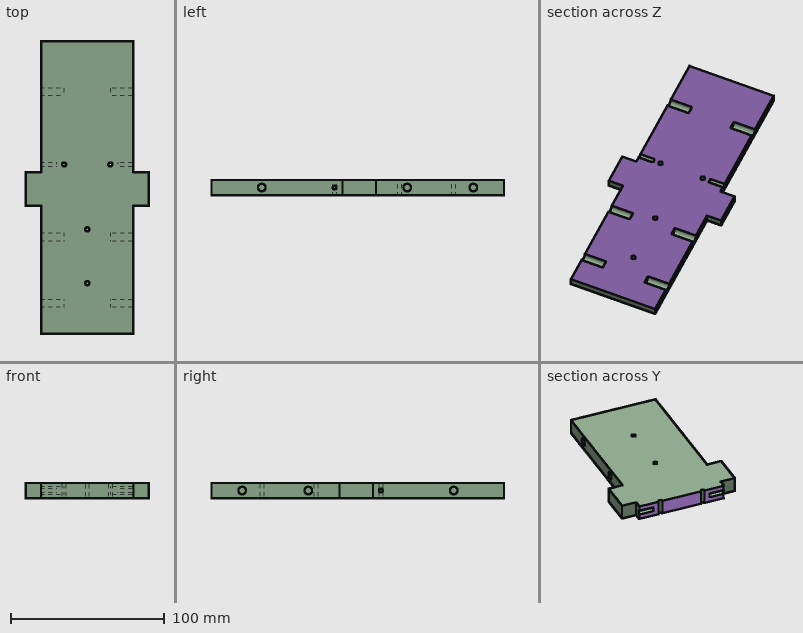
import cadquery as cq

length = 190.0
body_width = 60.0
thickness = 10.0

tab_span = 80.0
tab_length = 21.8
tab_center_y = -1.0

small_diameter = 2.5
pair_x = 15.0
pair_y = 15.0
center_hole_ys = (-27.2, -62.1)

edge_diameter = 5.0
edge_hole_ys = (62.3, -32.1, -75.0)
edge_hole_depth = 15.0
small_edge_depth = 10.0


def edge_holes(side, positions, diameter, depth):
    """Cylinders running inward from the long edge on the given X side (-1 or 1)."""
    edge_plane = cq.Plane(
        origin=(side * body_width / 2, 0, 0), xDir=(0, 1, 0), normal=(-side, 0, 0)
    )
    points = [(y, 0) for y in positions]
    return cq.Workplane(edge_plane).pushPoints(points).circle(diameter / 2).extrude(depth)


body = cq.Workplane("XY").box(body_width, length, thickness)
tabs = cq.Workplane("XY").center(0, tab_center_y).box(tab_span, tab_length, thickness)
result = body.union(tabs)

vertical_points = [(-pair_x, pair_y), (pair_x, pair_y)]
vertical_points += [(0, y) for y in center_hole_ys]
vertical_holes = (
    cq.Workplane("XY")
    .pushPoints(vertical_points)
    .circle(small_diameter / 2)
    .extrude(thickness, both=True)
)
result = result.cut(vertical_holes)

for side in (-1, 1):
    result = result.cut(edge_holes(side, edge_hole_ys, edge_diameter, edge_hole_depth))
    result = result.cut(edge_holes(side, [pair_y], small_diameter, small_edge_depth))